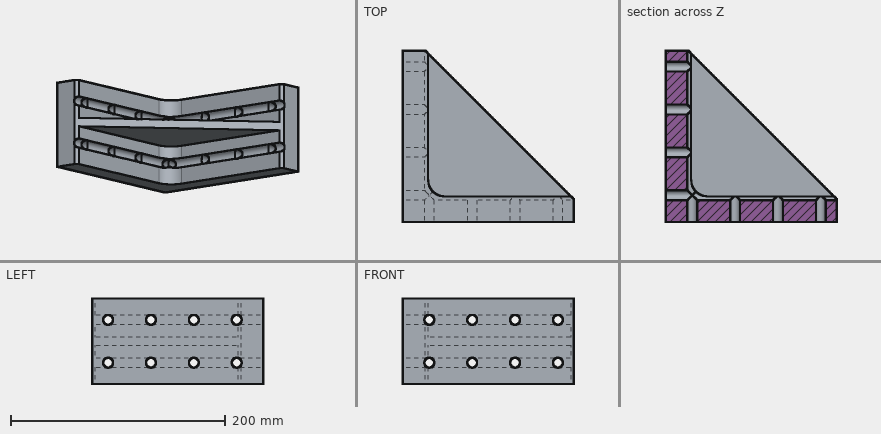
import cadquery as cq

leg_length = 160.0
height = 80.0
wall = 24.0
inner_radius = 15.0
tip_width = 21.1
web_thickness = 8.0

hole_diameter = 9.0
hole_columns = 4
hole_pitch = 40.0
first_hole = 25.0
first_row = 20.0

web_bottom = (height - web_thickness) / 2
hole_spots = [
    (first_hole + column * hole_pitch, z)
    for column in range(hole_columns)
    for z in (first_row, height - first_row)
]


def make_triangle(thickness):
    """Square corner plate with its far corner cut off along the diagonal."""
    outline = [
        (0, 0),
        (leg_length, 0),
        (leg_length, tip_width),
        (tip_width, leg_length),
        (0, leg_length),
    ]
    return cq.Workplane("XY").polyline(outline).close().extrude(thickness)


def make_inner_space():
    """Space between the legs, rounded at the inside corner."""
    return (
        cq.Workplane("XY")
        .box(leg_length, leg_length, height, centered=False)
        .translate((wall, wall, 0))
        .edges("|Z and <X and <Y")
        .fillet(inner_radius)
    )


def make_leg_holes(plane, direction):
    """Holes of one leg, drilled from its outer face along the full depth of the part.

    The column nearest the corner runs on as a shallow groove in the other leg's inner face.
    """
    return (
        cq.Workplane(plane)
        .pushPoints(hole_spots)
        .circle(hole_diameter / 2)
        .extrude(direction * leg_length)
    )


legs = make_triangle(height).cut(make_inner_space())
web = make_triangle(web_thickness).translate((0, 0, web_bottom))

result = (
    legs.union(web)
    .cut(make_leg_holes("XZ", -1))
    .cut(make_leg_holes("YZ", 1))
)